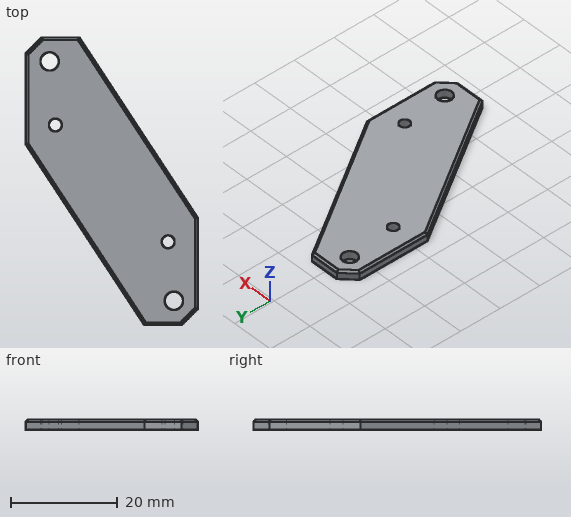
import cadquery as cq

width = 32.3
length = 54.0
thickness = 2.0
top_bevel = 0.5

corner_clip = 3.0
end_edge = 7.0
side_edge = 17.05

mount_diameter = 3.4
mount_x = 11.65
mount_y = 22.45
pin_diameter = 2.4
pin_x = 10.6
upper_pin_y = 10.55
lower_pin_y = -11.4

half_width = width / 2
half_length = length / 2

half_outline = [
    (-half_width, half_length - corner_clip - side_edge),
    (-half_width, half_length - corner_clip),
    (-half_width + corner_clip, half_length),
    (-half_width + corner_clip + end_edge, half_length),
]
opposite_half = [(-x, -y) for x, y in half_outline]

plate = cq.Workplane("XY").polyline(half_outline + opposite_half).close().extrude(thickness)
plate = plate.faces(">Z").chamfer(top_bevel)


def drill(body, centers, diameter):
    """Cut through holes at the given centers."""
    cutter = cq.Workplane("XY").pushPoints(centers).circle(diameter / 2).extrude(thickness)
    return body.cut(cutter)


plate = drill(plate, [(-mount_x, mount_y), (mount_x, -mount_y)], mount_diameter)
result = drill(plate, [(-pin_x, upper_pin_y), (pin_x, lower_pin_y)], pin_diameter)